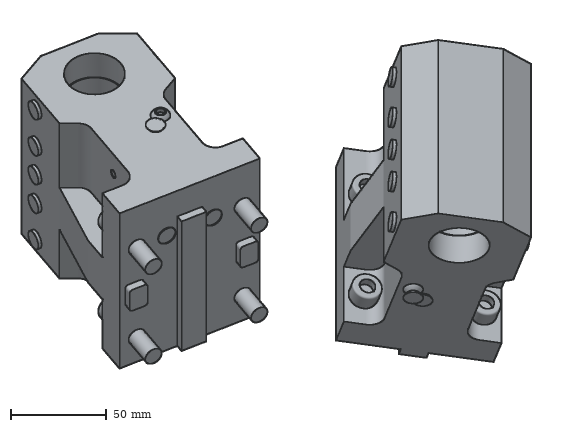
import math

import cadquery as cq


height = 110.8
overall_height = 118.8
bore_diameter = 32.0
relief_diameter = 33.0
relief_inset = 17.5
nose_x = -26.0
nose_half_width = 17.5
body_half_width = 35.0
bevel_angle = 30.0
taper_start_x = 24.0
taper_end_x = 67.0
back_x = 100.0
back_half_width = 42.5

pocket_back_x = 82.0
pocket_wall_y = 22.5
pocket_corner_radius = 8.0
pocket_overcut = 1.0
rib_thickness = 30.0
pattern_center_z = 50.0

bolt_spacing = 64.0
bolt_shank_diameter = 10.0
bolt_end_x = 117.5
bolt_head_diameter = 16.0
bolt_head_height = 9.5
bolt_head_rounding = 1.0
bolt_socket_diameter = 8.5
bolt_socket_depth = 5.0

key_width = 15.0
key_thickness = 4.5
key_top_z = 92.5
side_key_inner_y = 28.0
side_key_outer_y = 39.0
side_key_rounding = 2.0

fitting_diameter = 10.5
stud_height = 2.0
stud_offsets = (-46.25, -20.5, 0.0, 20.5, 46.25)
button_x = 45.0
button_y = 14.0
button_height = (overall_height - height) / 3
button_top_diameter = 6.2
button_bulge = 0.15
button_socket_diameter = 4.6
button_socket_depth = 2.5
plug_x = 51.5
plug_y = 7.3
plug_height = 1.5
plug_base_diameter = 8.5
back_disc_thickness = 0.5
back_disc_y = 14.0

recess_x = 58.7
recess_z = 96.7
recess_mouth_diameter = 4.9
recess_floor_diameter = 4.0
recess_depth = 0.2

bevel_slope = math.tan(math.radians(bevel_angle))


def cylinder(origin, direction, diameter, length):
    plane = cq.Plane(origin=origin, normal=direction)
    return cq.Workplane(plane).circle(diameter / 2).extrude(length)


def make_body():
    bevel_end_x = nose_x + nose_half_width * bevel_slope
    upper_side = [
        (nose_x, nose_half_width),
        (bevel_end_x, body_half_width),
        (taper_start_x, body_half_width),
        (taper_end_x, back_half_width),
        (back_x, back_half_width),
    ]
    lower_side = [(x, -y) for x, y in reversed(upper_side)]
    return cq.Workplane("XY").polyline(upper_side + lower_side).close().extrude(height)


def make_pocket(bottom_z, top_z):
    """Pocket on the +Y side, open towards +Y and wider than the body there."""
    slope_end_x = taper_start_x + (body_half_width - pocket_wall_y) * bevel_slope
    outer_y = back_half_width + pocket_overcut
    outer_x = taper_start_x - (outer_y - body_half_width) * bevel_slope
    return (
        cq.Workplane("XY", origin=(0, 0, bottom_z))
        .moveTo(outer_x, outer_y)
        .lineTo(slope_end_x, pocket_wall_y)
        .lineTo(pocket_back_x, pocket_wall_y)
        .lineTo(pocket_back_x, outer_y)
        .close()
        .extrude(top_z - bottom_z)
        .edges("|Z and <Y")
        .fillet(pocket_corner_radius)
    )


def cut_pockets(body):
    rib_bottom_z = pattern_center_z - rib_thickness / 2
    rib_top_z = pattern_center_z + rib_thickness / 2
    for bottom_z, top_z in ((0, rib_bottom_z), (rib_top_z, height)):
        pocket = make_pocket(bottom_z, top_z)
        body = body.cut(pocket).cut(pocket.mirror("XZ"))
    return body


def cut_bore(body):
    bore = cylinder((0, 0, 0), (0, 0, 1), bore_diameter, height)
    relief_length = height - 2 * relief_inset
    relief = cylinder((0, 0, relief_inset), (0, 0, 1), relief_diameter, relief_length)
    return body.cut(bore).cut(relief)


def make_bolt(y, z):
    head_x = pocket_back_x - bolt_head_height
    head = (
        cylinder((head_x, y, z), (1, 0, 0), bolt_head_diameter, bolt_head_height)
        .faces("<X")
        .edges()
        .fillet(bolt_head_rounding)
    )
    socket = cylinder((head_x, y, z), (1, 0, 0), bolt_socket_diameter, bolt_socket_depth)
    shank_length = bolt_end_x - pocket_back_x
    shank = cylinder((pocket_back_x, y, z), (1, 0, 0), bolt_shank_diameter, shank_length)
    return head.cut(socket).union(shank)


def make_upright_key():
    return cq.Workplane("XY", origin=(back_x, 0, 0)).box(
        key_thickness, key_width, key_top_z, centered=(False, True, False)
    )


def make_side_key():
    """Rounded key block on the +Y side."""
    return (
        cq.Workplane("XY", origin=(back_x, side_key_inner_y, pattern_center_z))
        .box(key_thickness, side_key_outer_y - side_key_inner_y, key_width, centered=(False, False, True))
        .edges("|X")
        .fillet(side_key_rounding)
    )


def add_keys(body):
    side_key = make_side_key()
    return body.union(make_upright_key()).union(side_key).union(side_key.mirror("XZ"))


def make_button_head():
    """Solid domed screw head standing on Z = 0."""
    base_radius = fitting_diameter / 2
    top_radius = button_top_diameter / 2
    dome_middle = ((base_radius + top_radius) / 2 + button_bulge, button_height / 2 + button_bulge)
    return (
        cq.Workplane("XZ")
        .lineTo(base_radius, 0)
        .threePointArc(dome_middle, (top_radius, button_height))
        .lineTo(0, button_height)
        .close()
        .revolve(360, (0, 0, 0), (0, 1, 0))
    )


def add_button_heads(body):
    head = make_button_head().translate((button_x, button_y, 0))
    socket_top = (button_x, button_y, height + button_height)
    socket = cylinder(socket_top, (0, 0, -1), button_socket_diameter, button_socket_depth)
    body = body.union(head.translate((0, 0, height))).cut(socket)
    body = body.union(head.mirror("XY"))
    return body.union(head.translate((0, 0, -2 * button_height)))


def make_plug():
    """Disc that widens away from the top face."""
    return (
        cq.Workplane("XY", origin=(plug_x, plug_y, height))
        .circle(plug_base_diameter / 2)
        .workplane(offset=plug_height)
        .circle(fitting_diameter / 2)
        .loft()
    )


def add_plugs(body):
    plug = make_plug()
    return body.union(plug).union(plug.mirror("XY", (0, 0, height / 2)))


def add_side_studs(body):
    length = 2 * (body_half_width + stud_height)
    for offset in stud_offsets:
        start = (0, -length / 2, height / 2 + offset)
        stud = cylinder(start, (0, 1, 0), fitting_diameter, length)
        body = body.union(stud)
    return body


def add_bolts_and_back_discs(body):
    for side in (-1, 1):
        for level in (-1, 1):
            y = side * bolt_spacing / 2
            z = pattern_center_z + level * bolt_spacing / 2
            body = body.union(make_bolt(y, z))
        disc_center = (back_x, side * back_disc_y, pattern_center_z + bolt_spacing / 2)
        body = body.union(cylinder(disc_center, (1, 0, 0), fitting_diameter, back_disc_thickness))
    return body


def cut_wall_recess(body):
    recess = cq.Solid.makeCone(
        recess_mouth_diameter / 2,
        recess_floor_diameter / 2,
        recess_depth,
        cq.Vector(recess_x, -pocket_wall_y, recess_z),
        cq.Vector(0, 1, 0),
    )
    return body.cut(cq.Workplane(obj=recess))


result = cut_pockets(make_body())
result = add_side_studs(result)
result = cut_bore(result)
result = add_bolts_and_back_discs(result)
result = add_keys(result)
result = add_button_heads(result)
result = add_plugs(result)
result = cut_wall_recess(result)